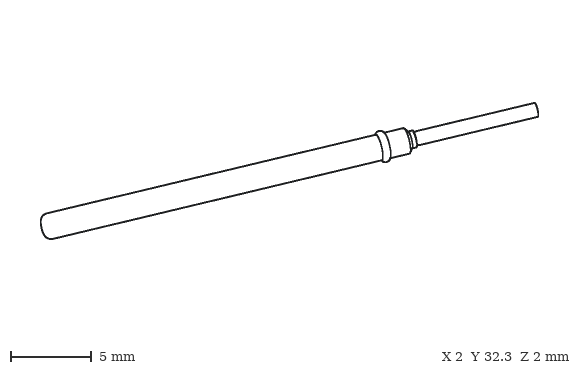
import cadquery as cq

pin_radius = 0.45
neck_radius = 0.42
collar_radius = 0.55
barrel_diameter = 1.65
barrel_radius = barrel_diameter / 2
bead_outer_radius = 1.0

total_length = 32.3
pin_length = 7.7
neck_length = 0.3
collar_length = 0.3
shoulder_length = 0.23
bead_distance = 10.05
bead_width = 0.52

nose_fillet = 0.45

pin_end = total_length / 2
nose_end = -total_length / 2
neck_start = pin_end - pin_length
collar_start = neck_start - neck_length
shoulder_start = collar_start - collar_length
barrel_start = shoulder_start - shoulder_length
bead_center = pin_end - bead_distance
bead_back = bead_center + bead_width / 2
bead_front = bead_center - bead_width / 2

profile = (
    cq.Workplane("XY")
    .moveTo(0, pin_end)
    .lineTo(pin_radius, pin_end)
    .lineTo(pin_radius, neck_start)
    .lineTo(neck_radius, collar_start)
    .lineTo(collar_radius, collar_start)
    .lineTo(collar_radius, shoulder_start)
    .lineTo(barrel_radius, barrel_start)
    .lineTo(barrel_radius, bead_back)
    .threePointArc((bead_outer_radius, bead_center), (barrel_radius, bead_front))
    .lineTo(barrel_radius, nose_end + nose_fillet)
    .radiusArc((barrel_radius - nose_fillet, nose_end), nose_fillet)
    .lineTo(0, nose_end)
    .close()
)

result = profile.revolve(360, (0, 0, 0), (0, 1, 0))